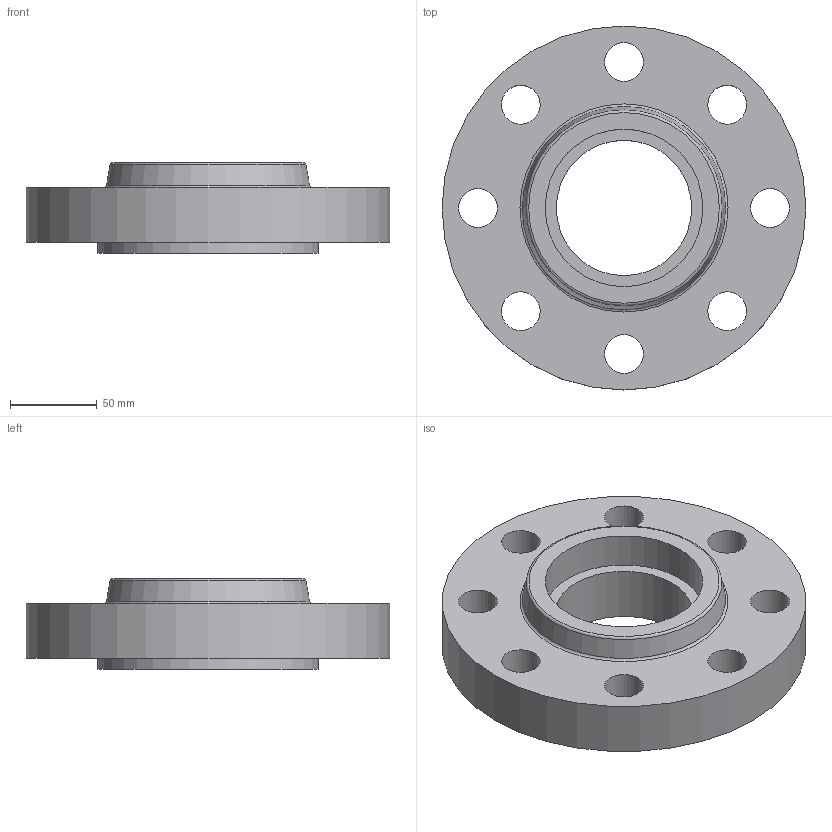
import cadquery as cq
import math

flange_diameter = 209.55
flange_thickness = 31.75
raised_face_diameter = 127.0
raised_face_height = 6.35

overall_height = 52.32
hub_base_diameter = 117.35
hub_taper_angle = 10.0
hub_root_fillet = 1.5
hub_rim_fillet = 1.5

bore_diameter = 77.93
socket_diameter = 90.7
socket_depth = 20.5

bolt_count = 8
bolt_circle_diameter = 168.15
bolt_hole_diameter = 22.35

flange_top = raised_face_height + flange_thickness
hub_height = overall_height - flange_top
hub_slope = math.tan(math.radians(hub_taper_angle))
hub_top_diameter = hub_base_diameter - 2 * hub_height * hub_slope


def cylinder(diameter, bottom, top):
    """Round bar on the Z axis between two heights."""
    return cq.Workplane("XY").workplane(offset=bottom).circle(diameter / 2).extrude(top - bottom)


def make_body():
    """Raised face, flange disc and tapered hub as one revolved profile."""
    profile = (
        cq.Workplane("XZ")
        .moveTo(0, 0)
        .lineTo(raised_face_diameter / 2, 0)
        .lineTo(raised_face_diameter / 2, raised_face_height)
        .lineTo(flange_diameter / 2, raised_face_height)
        .lineTo(flange_diameter / 2, flange_top)
        .lineTo(hub_base_diameter / 2, flange_top)
        .lineTo(hub_top_diameter / 2, overall_height)
        .lineTo(0, overall_height)
        .close()
    )
    return profile.revolve(360, (0, 0, 0), (0, 1, 0))


def round_hub(body):
    """Blend the hub into the flange and round its outer rim."""
    hub_root = cq.selectors.RadiusNthSelector(1)
    blended = body.edges(hub_root).fillet(hub_root_fillet)
    return blended.faces(">Z").edges().fillet(hub_rim_fillet)


def cut_bore(body):
    """Through bore with a wider pipe socket in the hub end."""
    bore = cylinder(bore_diameter, 0, overall_height)
    socket = cylinder(socket_diameter, overall_height - socket_depth, overall_height)
    return body.cut(bore).cut(socket)


def cut_bolt_holes(body):
    """Evenly spaced through holes on the bolt circle, the first one on +X."""
    holes = (
        cq.Workplane("XY")
        .polarArray(bolt_circle_diameter / 2, 0, 360, bolt_count)
        .circle(bolt_hole_diameter / 2)
        .extrude(overall_height)
    )
    return body.cut(holes)


result = cut_bolt_holes(cut_bore(round_hub(make_body())))